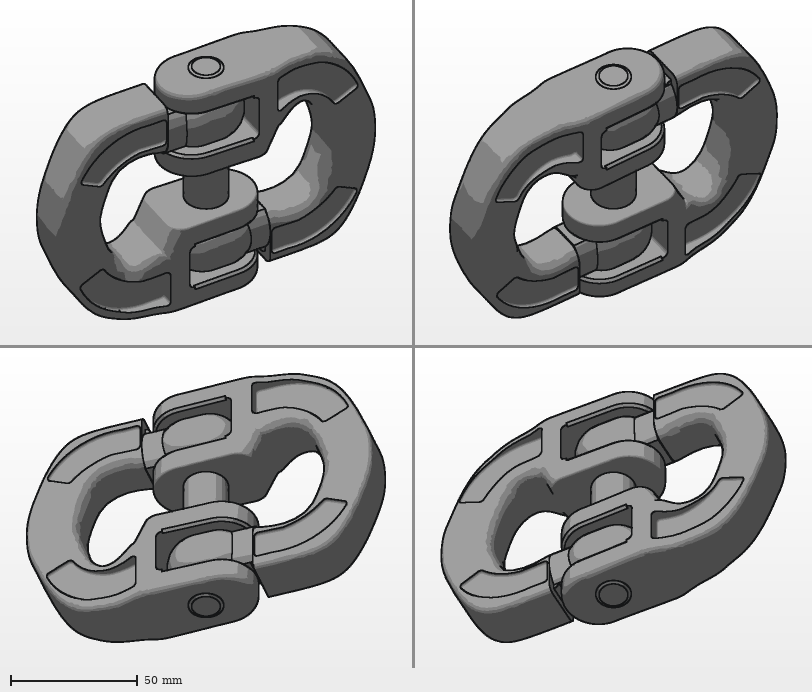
import cadquery as cq

PIN_DIA = 14.0
PIN_LENGTH = 106.0
PIN_CHAMFER_WIDTH = 1.3
PIN_CHAMFER_HEIGHT = 0.6
SLEEVE_DIA = 18.0

JOINT_Z = 31.9

FORK_TOP = 52.5
FORK_BOTTOM = 11.3
FORK_TIP_Y = -21.3
FORK_TIP_HALF_WIDTH = 14.6
FORK_ROOT_HALF_WIDTH = 15.1
FORK_ROOT_Y = 21.0
FORK_TIP_CENTER_Y = FORK_TIP_Y + FORK_TIP_HALF_WIDTH
SLOT_HEIGHT = 20.5
SLOT_END_Y = 15.8
SLOT_CORNER_RADIUS = 2.5
SLOT_CHAMFER = 1.2
FORK_BOTTOM_FILLET = 1.2

EYE_HEIGHT = 18.8
EYE_RADIUS = 13.8
EYE_BULGE = 4.0
EYE_TIP_Y = -15.5
EYE_NECK_Y = 5.8
NECK_HALF_WIDTH = 10.6
EYE_TIP_CENTER_Y = EYE_TIP_Y + EYE_RADIUS
EYE_LOW = -JOINT_Z - EYE_HEIGHT / 2

ARM_HALF_WIDTH = 10.6
ARM_END_Y = 72.5
ARM_TAPER_Y = 50.6
ARM_LOW = -47.7
SHOULDER_Y = 23.2
SHOULDER_RADIUS = 2.2
OPENING_START_Z = -23.0
OPENING_LOW = (43.2, -21.7)
OPENING_END = (22.3, FORK_BOTTOM)
OUTER_FILLET = 3.5
INNER_FILLET = 6.7

RECESS_HALF_GAP = 9.0
RECESS_CORNER_RADIUS = 1.7
RECESS_FLOOR_FILLET = 1.3

REACH = 87.0


def link_profile():
    """Side outline of one half in the YZ plane, extruded across its width."""
    outer_upper = [(58.0, 41.3), (69.0, 18.8), (ARM_END_Y, 0)]
    outer_lower = [(68.9, -18.8), (56.8, -42.0), (31.9, ARM_LOW)]
    opening = [(34.4, -24.6), OPENING_LOW, (48.1, -13.0), (51.2, 0), (48.4, 13.0),
               (44.1, 21.7), (36.0, 25.5), (28.0, 21.7), OPENING_END]
    return (
        cq.Workplane("YZ")
        .moveTo(-REACH, FORK_TOP)
        .lineTo(30.5, FORK_TOP)
        .spline(outer_upper, tangents=[(1, 0), (0, -1)], includeCurrent=True)
        .spline(outer_lower, tangents=[(0, -1), (-1, 0)], includeCurrent=True)
        .lineTo(SHOULDER_Y, ARM_LOW)
        .lineTo(SHOULDER_Y, OPENING_START_Z)
        .spline(opening, tangents=[(1, -0.16), (-0.5, -1)], includeCurrent=True)
        .lineTo(-REACH, FORK_BOTTOM)
        .close()
        .extrude(REACH / 2, both=True)
    )


def width_envelope():
    """Space that limits the width: flared above Z = 0, straight below it."""
    right_flare = [(14.6, 24.6), (13.3, 29.0), (12.5, 33.3), (11.6, 42.0), (ARM_HALF_WIDTH, ARM_TAPER_Y)]
    left_flare = [(-x, y) for x, y in reversed(right_flare[:-1])] + [(-FORK_ROOT_HALF_WIDTH, FORK_ROOT_Y)]
    upper = (
        cq.Workplane("XY")
        .moveTo(-FORK_TIP_HALF_WIDTH, FORK_TIP_CENTER_Y)
        .threePointArc((0, FORK_TIP_Y), (FORK_TIP_HALF_WIDTH, FORK_TIP_CENTER_Y))
        .spline([(FORK_ROOT_HALF_WIDTH, FORK_ROOT_Y)], tangents=[(0, 1), (0, 1)], includeCurrent=True)
        .spline(right_flare, tangents=[(0, 1), (0, 1)], includeCurrent=True)
        .lineTo(ARM_HALF_WIDTH, REACH)
        .lineTo(-ARM_HALF_WIDTH, REACH)
        .lineTo(-ARM_HALF_WIDTH, ARM_TAPER_Y)
        .spline(left_flare, tangents=[(0, -1), (0, -1)], includeCurrent=True)
        .spline([(-FORK_TIP_HALF_WIDTH, FORK_TIP_CENTER_Y)], tangents=[(0, -1), (0, -1)], includeCurrent=True)
        .close()
        .extrude(REACH)
    )
    lower = cq.Workplane("XY").box(2 * ARM_HALF_WIDTH, 2 * REACH, REACH, centered=(True, True, False))
    return upper.union(lower.translate((0, 0, -REACH)))


def link_blank():
    """Rounded arm with a solid fork; each picked edge carries its fillet along the smooth chain."""
    blank = link_profile().intersect(width_envelope())
    blank = blank.edges(cq.NearestToPointSelector((0, FORK_TIP_Y, FORK_TOP))).fillet(OUTER_FILLET)
    opening_bottom_y, opening_bottom_z = OPENING_LOW
    for side in (-1, 1):
        opening_edge = cq.NearestToPointSelector((side * ARM_HALF_WIDTH, opening_bottom_y, opening_bottom_z))
        blank = blank.edges(opening_edge).fillet(INNER_FILLET)
    underside = cq.NearestToPointSelector((0, 0, FORK_BOTTOM))
    return blank.faces(underside).edges().fillet(FORK_BOTTOM_FILLET)


def cut_slot(link):
    """Slot between the fork jaws, with rounded inner corners and bevelled jaw edges."""
    straight_end = SLOT_END_Y - SLOT_CORNER_RADIUS
    straight_slot = (
        cq.Workplane("XY", origin=(0, straight_end - REACH / 2, JOINT_Z))
        .box(REACH, REACH, SLOT_HEIGHT)
    )
    rounded_slot = (
        cq.Workplane("XY", origin=(0, SLOT_END_Y - REACH / 2, JOINT_Z))
        .box(REACH, REACH, SLOT_HEIGHT)
        .edges("|X").fillet(SLOT_CORNER_RADIUS)
    )
    link = link.cut(straight_slot)
    for side in (-1, 1):
        jaw_edge = cq.NearestToPointSelector((0, FORK_TIP_Y, JOINT_Z + side * SLOT_HEIGHT / 2))
        link = link.edges(jaw_edge).chamfer(SLOT_CHAMFER)
    return link.cut(rounded_slot)


def barrel_bar(half_width, start_y, end_y):
    """Straight bar along Y at eye height, flat above and below, with barrel-shaped sides."""
    flat_half_width = half_width - EYE_BULGE
    half_height = EYE_HEIGHT / 2
    return (
        cq.Workplane("XZ", origin=(0, end_y, -JOINT_Z))
        .moveTo(-flat_half_width, -half_height)
        .lineTo(flat_half_width, -half_height)
        .threePointArc((half_width, 0), (flat_half_width, half_height))
        .lineTo(-flat_half_width, half_height)
        .threePointArc((-half_width, 0), (-flat_half_width, -half_height))
        .close()
        .extrude(end_y - start_y)
    )


def barrel_disc(center_y):
    """Round disc at eye height with a barrel-shaped rim."""
    flat_radius = EYE_RADIUS - EYE_BULGE
    half_height = EYE_HEIGHT / 2
    return (
        cq.Workplane("XZ")
        .moveTo(0, -half_height)
        .lineTo(flat_radius, -half_height)
        .threePointArc((EYE_RADIUS, 0), (flat_radius, half_height))
        .lineTo(0, half_height)
        .close()
        .revolve(360, (0, 0, 0), (0, 1, 0))
        .translate((0, center_y, -JOINT_Z))
    )


def shoulder_web():
    """Concave corner between the neck and the end of the arm."""
    arc_start_y = SHOULDER_Y - SHOULDER_RADIUS
    half_width = NECK_HALF_WIDTH - EYE_BULGE
    return (
        cq.Workplane("YZ")
        .moveTo(SHOULDER_Y, EYE_LOW - SHOULDER_RADIUS)
        .radiusArc((arc_start_y, EYE_LOW), SHOULDER_RADIUS)
        .lineTo(arc_start_y, -JOINT_Z)
        .lineTo(SHOULDER_Y, -JOINT_Z)
        .close()
        .extrude(half_width, both=True)
    )


def eye():
    """Flat eye stretched along Y, with the neck that joins it to the lower arm."""
    body = barrel_bar(EYE_RADIUS, EYE_TIP_CENTER_Y, EYE_NECK_Y)
    body = body.union(barrel_disc(EYE_TIP_CENTER_Y)).union(barrel_disc(EYE_NECK_Y))
    body = body.union(barrel_bar(NECK_HALF_WIDTH, EYE_NECK_Y, SHOULDER_Y))
    return body.union(shoulder_web())


def upper_recess_outline():
    """Curved band on the flared upper arm."""
    return (
        cq.Workplane("YZ", origin=(RECESS_HALF_GAP, 0, 0))
        .moveTo(24.4, 47.3)
        .lineTo(30.5, 47.3)
        .threePointArc((50.7, 42.3), (63.5, 26.0))
        .lineTo(52.8, 20.7)
        .threePointArc((45.2, 29.3), (35.8, 32.6))
        .threePointArc((30.3, 31.9), (24.4, 29.9))
        .close()
    )


def lower_recess_outline():
    """Curved band on the straight lower arm."""
    return (
        cq.Workplane("YZ", origin=(RECESS_HALF_GAP, 0, 0))
        .moveTo(23.9, -42.8)
        .lineTo(31.5, -42.6)
        .threePointArc((49.3, -39.5), (63.2, -25.0))
        .lineTo(53.5, -20.2)
        .threePointArc((45.4, -27.0), (35.8, -30.5))
        .lineTo(23.9, -30.0)
        .close()
    )


def cut_recesses(link):
    """Flat-floored recesses in both sides of the upper and lower arm."""
    for outline in (upper_recess_outline(), lower_recess_outline()):
        recess = outline.extrude(REACH).edges("|X").fillet(RECESS_CORNER_RADIUS)
        recess = recess.faces("<X").edges().fillet(RECESS_FLOOR_FILLET)
        link = link.cut(recess).cut(recess.mirror("YZ"))
    return link


def half_link():
    """One half: fork at the top, eye at the bottom, bored through for the pin."""
    link = cut_slot(link_blank())
    link = link.union(eye())
    link = cut_recesses(link)
    bore = cq.Workplane("XY").circle(PIN_DIA / 2).extrude(REACH, both=True)
    return link.cut(bore)


def load_pin():
    """Round pin with bevelled ends, through both forks and eyes."""
    pin = cq.Workplane("XY", origin=(0, 0, -PIN_LENGTH / 2)).circle(PIN_DIA / 2).extrude(PIN_LENGTH)
    pin = pin.faces("<Z").chamfer(PIN_CHAMFER_HEIGHT, PIN_CHAMFER_WIDTH)
    return pin.faces(">Z").chamfer(PIN_CHAMFER_HEIGHT, PIN_CHAMFER_WIDTH)


def sleeve():
    """Tube around the pin that fills the gap between the two forks."""
    ring = cq.Workplane("XY", origin=(0, 0, -FORK_BOTTOM)).circle(SLEEVE_DIA / 2).circle(PIN_DIA / 2)
    return ring.extrude(2 * FORK_BOTTOM)


first_half = half_link()
half_links = [first_half.rotate((0, 0, 0), (1, 0, 0), turn) for turn in (0, 180)]
result = cq.Compound.makeCompound(
    [half.val() for half in half_links] + [load_pin().val(), sleeve().val()]
)